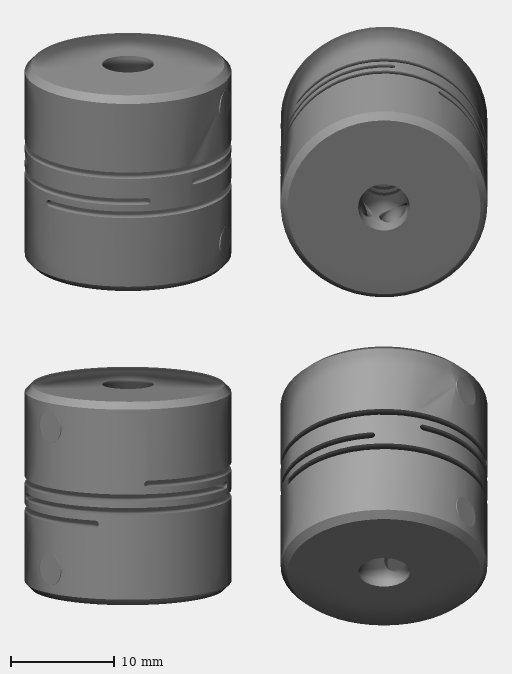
import cadquery as cq

LENGTH = 20.0
DIAMETER = 20.0
BORE_DIAMETER = 5.0
END_CHAMFER = 0.65

SLIT_ANGLES = (0, 180, -90, 90)
FLEXURE_HEIGHT = 4.65
SLIT_WIDTH = FLEXURE_HEIGHT / (2 * len(SLIT_ANGLES) - 1)
SLIT_PITCH = 2 * SLIT_WIDTH
TOP_SLIT_HEIGHT = (FLEXURE_HEIGHT - SLIT_WIDTH) / 2
SLIT_TIP = 5.35

SCREW_DIAMETER = 3.0
SCREW_HEIGHT = 7.0
SCREW_INNER_END = BORE_DIAMETER / 2
SCREW_LENGTH = DIAMETER / 2 - SCREW_INNER_END

SCREW_SITES = ((0, SCREW_HEIGHT), (90, SCREW_HEIGHT), (0, -SCREW_HEIGHT))
PLUG_SITE = (90, -SCREW_HEIGHT)


def turn_about_axis(shape, angle):
    return shape.rotate((0, 0, 0), (0, 0, 1), angle)


def radial_cylinder(site, start, length):
    """Screw-sized cylinder along a radius, starting at a distance from the Z axis."""
    angle, height = site
    cylinder = cq.Workplane("YZ", origin=(start, 0, height)).circle(SCREW_DIAMETER / 2).extrude(length)
    return turn_about_axis(cylinder, angle)


def make_slit(angle, height):
    """Cutter for a round-ended slit, open towards -Y before it is turned."""
    half_width = SLIT_WIDTH / 2
    arc_start = SLIT_TIP - half_width
    cutter = (
        cq.Workplane("YZ", origin=(0, 0, height))
        .moveTo(-DIAMETER, -half_width)
        .lineTo(arc_start, -half_width)
        .threePointArc((SLIT_TIP, 0), (arc_start, half_width))
        .lineTo(-DIAMETER, half_width)
        .close()
        .extrude(DIAMETER, both=True)
    )
    return turn_about_axis(cutter, angle)


def make_coupling():
    body = (
        cq.Workplane("XY", origin=(0, 0, -LENGTH / 2))
        .circle(DIAMETER / 2)
        .extrude(LENGTH)
        .faces("|Z")
        .chamfer(END_CHAMFER)
        .faces(">Z")
        .workplane()
        .hole(BORE_DIAMETER)
    )
    for index, angle in enumerate(SLIT_ANGLES):
        body = body.cut(make_slit(angle, TOP_SLIT_HEIGHT - index * SLIT_PITCH))
    for site in (*SCREW_SITES, PLUG_SITE):
        body = body.cut(radial_cylinder(site, 0, DIAMETER))
    return body.union(make_screw_form(PLUG_SITE)).solids()


def make_screw_form(site):
    """Flat-ended cylinder that fills one screw hole."""
    return radial_cylinder(site, SCREW_INNER_END, SCREW_LENGTH)


coupling = make_coupling()
set_screws = [make_screw_form(site) for site in SCREW_SITES]

result = cq.Compound.makeCompound([coupling.val(), *[screw.val() for screw in set_screws]])